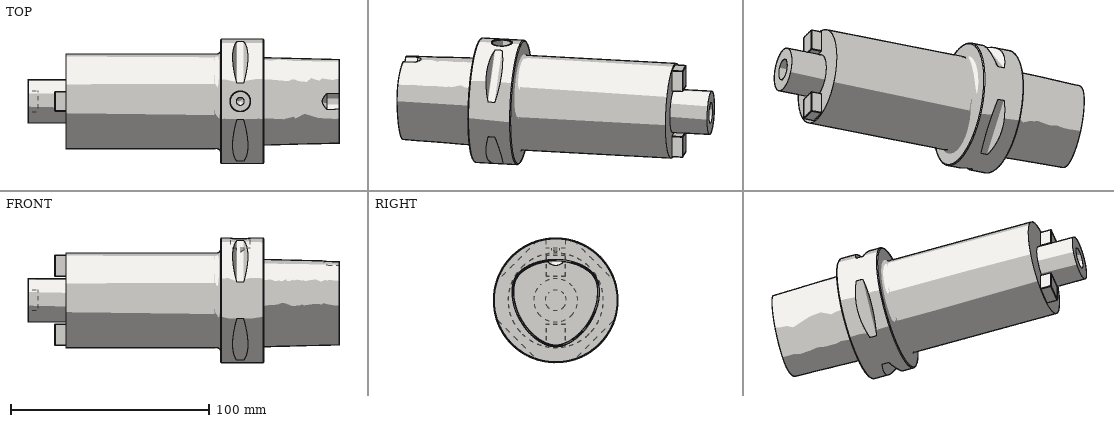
import cadquery as cq
import math


flange_diameter = 63.0
flange_width = 22.0
flange_chamfer = 0.5
flange_front = -flange_width

body_diameter = 48.0
body_front = -100.0
neck_diameter = 47.8
neck_start = -24.9
neck_fillet = 2.1
face_relief_depth = 0.1
face_relief_diameter = 54.4
undercut_lead_angle = 15.0

pilot_diameter = 22.0
pilot_length = 19.0
pilot_hole_diameter = 10.5
pilot_hole_depth = 5.0
pilot_front = body_front - pilot_length

key_width = 10.0
key_height = 5.6
key_inner_radius = 11.9
key_outer_radius = 22.9
key_chamfer = 0.3

shank_length = 38.0
shank_radius = 22.1
shank_eccentricity = 1.4
shank_taper = 1 / 20
shank_points = 72

keyway_diameter = 10.0
keyway_length = 6.3
keyway_axis_height = 22.6
keyway_point_angle = 90.0

groove_plane_x = -12.0
groove_floor_width = 3.5
groove_floor_fillet = 0.5
groove_floor_distance = 27.8
groove_included_angle = 60.0
groove_angles = (45, 135, 225, 315)
chip_pocket_diameter = 10.0
chip_pocket_mouth_diameter = 10.5
chip_pocket_mouth_depth = 0.4
chip_pocket_depth = 5.0
chip_hole_diameter = 4.0
chip_hole_depth = 1.0
chip_hole_point_angle = 118.0


def drill_point_length(diameter, point_angle):
    """Length of the conical tip left by a drill of this diameter."""
    return diameter / 2 / math.tan(math.radians(point_angle / 2))


def make_turned_body():
    """Pilot, body, undercut and flange revolved about the X axis."""
    pilot_radius = pilot_diameter / 2
    body_radius = body_diameter / 2
    neck_radius = neck_diameter / 2
    flange_radius = flange_diameter / 2
    relief_face = flange_front + face_relief_depth
    lead_length = (body_radius - neck_radius) / math.tan(math.radians(undercut_lead_angle))
    fillet_centre_x = relief_face - neck_fillet
    fillet_centre_r = neck_radius + neck_fillet
    fillet_reach = neck_fillet * math.sqrt(0.5)
    profile = (
        cq.Workplane("XY")
        .moveTo(pilot_front, 0)
        .lineTo(pilot_front, pilot_radius)
        .lineTo(body_front, pilot_radius)
        .lineTo(body_front, body_radius)
        .lineTo(neck_start, body_radius)
        .lineTo(neck_start + lead_length, neck_radius)
        .lineTo(fillet_centre_x, neck_radius)
        .threePointArc(
            (fillet_centre_x + fillet_reach, fillet_centre_r - fillet_reach),
            (relief_face, fillet_centre_r),
        )
        .lineTo(flange_front, face_relief_diameter / 2)
        .lineTo(flange_front, flange_radius - flange_chamfer)
        .lineTo(flange_front + flange_chamfer, flange_radius)
        .lineTo(-flange_chamfer, flange_radius)
        .lineTo(0, flange_radius - flange_chamfer)
        .lineTo(0, 0)
        .close()
    )
    return profile.revolve(360, (0, 0, 0), (1, 0, 0))


def polygon_point(angle, mean_radius):
    """Point of the three-lobed section whose outward normal is at this angle.

    One of the lobes points to -Z.
    """
    lobe_phase = 3 * (angle + math.pi / 2)
    reach = mean_radius + shank_eccentricity * math.cos(lobe_phase)
    slope = -3 * shank_eccentricity * math.sin(lobe_phase)
    y = reach * math.cos(angle) - slope * math.sin(angle)
    z = reach * math.sin(angle) + slope * math.cos(angle)
    return y, z


def make_shank():
    """Tapered shank lofted between its two polygon sections."""
    end_radius = shank_radius - shank_length * shank_taper / 2
    step = 2 * math.pi / shank_points
    angles = [i * step for i in range(shank_points)]
    base = [polygon_point(angle, shank_radius) for angle in angles]
    end = [polygon_point(angle, end_radius) for angle in angles]
    return (
        cq.Workplane("YZ")
        .spline(base, periodic=True)
        .close()
        .workplane(offset=shank_length)
        .spline(end, periodic=True)
        .close()
        .loft(ruled=True, combine=True)
    )


def make_key(side):
    """Driving key on the body front face, above (+1) or below (-1) the pilot.

    Every edge except those against the body is lightly chamfered.
    """
    radial_length = key_outer_radius - key_inner_radius
    centre_z = side * (key_outer_radius + key_inner_radius) / 2
    return (
        cq.Workplane("YZ", origin=(body_front, 0, centre_z))
        .rect(key_width, radial_length)
        .extrude(-key_height)
        .edges("<X or |X")
        .chamfer(key_chamfer)
    )


def make_pilot_hole():
    """Flat-bottomed hole in the front face of the pilot."""
    return (
        cq.Workplane("YZ", origin=(pilot_front, 0, 0))
        .circle(pilot_hole_diameter / 2)
        .extrude(pilot_hole_depth)
    )


def make_keyway():
    """Round cutter along X with a conical tip, breaking out through the flat +Z side of the shank."""
    radius = keyway_diameter / 2
    shoulder_x = shank_length - keyway_length
    tip_x = shoulder_x - drill_point_length(keyway_diameter, keyway_point_angle)
    return (
        cq.Workplane("XZ")
        .moveTo(tip_x, keyway_axis_height)
        .lineTo(shoulder_x, keyway_axis_height + radius)
        .lineTo(shank_length, keyway_axis_height + radius)
        .lineTo(shank_length, keyway_axis_height)
        .close()
        .revolve(360, (tip_x, keyway_axis_height, 0), (shank_length, keyway_axis_height, 0))
    )


def make_groove(angle):
    """Flat-floored groove with sloping sides across the flange rim, at this angle about X."""
    depth = flange_diameter / 2 - groove_floor_distance
    floor_half = groove_floor_width / 2
    mouth_half = floor_half + depth * math.tan(math.radians(groove_included_angle / 2))
    mouth_z = flange_diameter / 2
    return (
        cq.Workplane("XZ", origin=(groove_plane_x, 0, 0))
        .moveTo(-floor_half, groove_floor_distance)
        .lineTo(-mouth_half, mouth_z)
        .lineTo(mouth_half, mouth_z)
        .lineTo(floor_half, groove_floor_distance)
        .close()
        .extrude(flange_diameter / 2, both=True)
        .faces("<Z")
        .edges("|Y")
        .fillet(groove_floor_fillet)
        .rotate((0, 0, 0), (1, 0, 0), angle)
    )


def make_chip_pocket():
    """Flat-bottomed pocket in the +Z side of the flange.

    A wider mouth narrows to the pocket through a 45 degree chamfer, and a
    small drilled hole sits in the pocket floor.
    """
    top_z = flange_diameter / 2
    pocket_radius = chip_pocket_diameter / 2
    mouth_radius = chip_pocket_mouth_diameter / 2
    mouth_z = top_z - chip_pocket_mouth_depth
    floor_z = top_z - chip_pocket_depth
    hole_bottom_z = floor_z - chip_hole_depth
    tip_z = hole_bottom_z - drill_point_length(chip_hole_diameter, chip_hole_point_angle)
    return (
        cq.Workplane("XZ", origin=(groove_plane_x, 0, 0))
        .moveTo(0, top_z)
        .lineTo(mouth_radius, top_z)
        .lineTo(mouth_radius, mouth_z)
        .lineTo(pocket_radius, mouth_z - (mouth_radius - pocket_radius))
        .lineTo(pocket_radius, floor_z)
        .lineTo(chip_hole_diameter / 2, floor_z)
        .lineTo(chip_hole_diameter / 2, hole_bottom_z)
        .lineTo(0, tip_z)
        .close()
        .revolve(360, (0, 0, 0), (0, 1, 0))
    )


result = make_turned_body().union(make_shank())
for side in (1, -1):
    result = result.union(make_key(side))
result = result.cut(make_pilot_hole())
result = result.cut(make_keyway())
for angle in groove_angles:
    result = result.cut(make_groove(angle))
result = result.cut(make_chip_pocket())